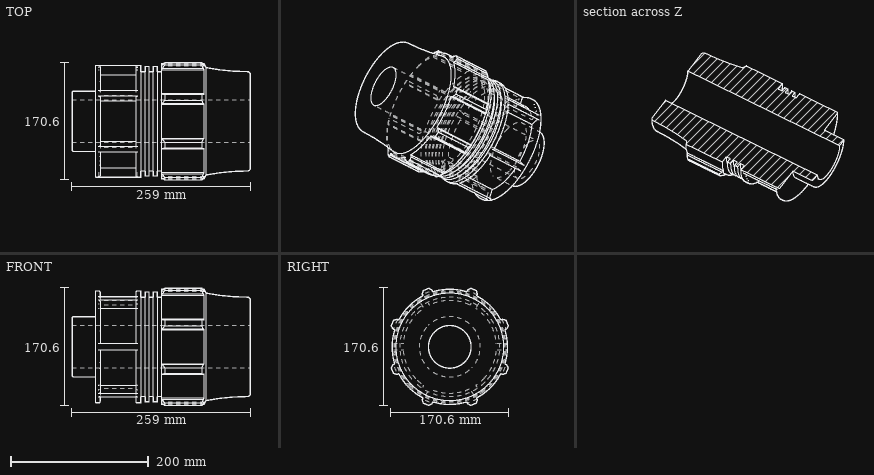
import cadquery as cq
import math

length = 259.0
bore_radius = 61.6 / 2

spigot_radius = 88.0 / 2
spigot_fillet = 2.5

collar_start = 33.7
collar_end = 99.7
collar_radius = 163.0 / 2
collar_fillet = 1.8
window_start = 41.0
window_end = 92.5
window_floor_radius = 67.5
window_lip_fillet = 2.5
web_count = 6
web_width = 9.5

neck_radius = 144.8 / 2
ring_radius = 159.5 / 2
ring_width = 6.0
ring_starts = (106.0, 117.8)

nut_start = 129.8
nut_shoulder_start = 191.7
nut_end = 194.5
nut_radius = 84.0
sleeve_start_radius = 78.2
sleeve_end_radius = neck_radius
sleeve_fillet = 4.7

rib_count = 8
rib_top_radius = 90.5
rib_top_width = 8.8
rib_base_radius = 86.2
rib_base_width = 15.5
rib_lead_in = 5.0
rib_front_radius = 85.5
rib_embed = 2.5
rib_root_radius = nut_radius - rib_embed


def axial_cylinder(start, end, radius):
    return cq.Workplane("YZ").workplane(offset=start).circle(radius).extrude(end - start)


def spin(profile):
    """Revolve an (X, radius) profile about the X axis."""
    return profile.close().revolve(360, (0, 0, 0), (1, 0, 0))


def make_spigot():
    spigot = axial_cylinder(0, collar_start, spigot_radius)
    return spigot.faces("<X").edges().fillet(spigot_fillet)


def make_collar():
    """Two flanges joined by a recessed drum and axial webs."""
    front_flange = axial_cylinder(collar_start, window_start, collar_radius)
    front_flange = front_flange.faces("<X").edges().fillet(collar_fillet)
    front_flange = front_flange.faces(">X").edges().fillet(window_lip_fillet)
    rear_flange = axial_cylinder(window_end, collar_end, collar_radius)
    rear_flange = rear_flange.faces("<X").edges().fillet(window_lip_fillet)
    drum = axial_cylinder(window_start, window_end, window_floor_radius)
    return front_flange.union(drum).union(rear_flange).union(make_webs())


def make_webs():
    start = window_start - window_lip_fillet
    end = window_end + window_lip_fillet
    envelope = axial_cylinder(start, end, collar_radius)
    bar = cq.Workplane("XY").box(end - start, 2 * collar_radius, web_width)
    bar = bar.translate(((start + end) / 2, 0, 0))
    webs = cq.Workplane("XY")
    for i in range(web_count // 2):
        webs = webs.add(bar.rotate((0, 0, 0), (1, 0, 0), i * 360 / web_count))
    return envelope.intersect(webs.combine())


def make_neck():
    neck = axial_cylinder(collar_end, nut_start, neck_radius)
    for start in ring_starts:
        neck = neck.union(axial_cylinder(start, start + ring_width, ring_radius))
    return neck


def make_nut():
    shoulder_slope = (nut_radius - sleeve_start_radius) / (nut_end - nut_shoulder_start)
    body = axial_cylinder(nut_start, nut_end, nut_radius)

    rib = (
        cq.Workplane("YZ")
        .workplane(offset=nut_start)
        .moveTo(-rib_base_width / 2, rib_root_radius)
        .lineTo(-rib_base_width / 2, rib_base_radius)
        .lineTo(-rib_top_width / 2, rib_top_radius)
        .lineTo(rib_top_width / 2, rib_top_radius)
        .lineTo(rib_base_width / 2, rib_base_radius)
        .lineTo(rib_base_width / 2, rib_root_radius)
        .close()
        .extrude(nut_end - nut_start)
    )
    for i in range(rib_count):
        body = body.union(rib.rotate((0, 0, 0), (1, 0, 0), (i + 0.5) * 360 / rib_count))

    rib_corner_radius = math.hypot(rib_top_radius, rib_top_width / 2)
    envelope = spin(
        cq.Workplane("XY")
        .moveTo(nut_start, 0)
        .lineTo(nut_start, rib_front_radius)
        .lineTo(nut_start + rib_lead_in, rib_corner_radius)
        .lineTo(nut_end - (rib_corner_radius - sleeve_start_radius) / shoulder_slope, rib_corner_radius)
        .lineTo(nut_end, sleeve_start_radius)
        .lineTo(nut_end, 0)
    )
    return body.intersect(envelope)


def make_sleeve():
    """Concave taper that runs out tangent to the axis before the rounded rim."""
    arc_end = length - sleeve_fillet
    run = arc_end - nut_end
    drop = sleeve_start_radius - sleeve_end_radius
    arc_radius = (run**2 + drop**2) / (2 * drop)
    mid_run = run / 2
    mid_radius = sleeve_end_radius + arc_radius - math.sqrt(arc_radius**2 - mid_run**2)
    fillet_mid = sleeve_fillet * math.sqrt(0.5)
    return spin(
        cq.Workplane("XY")
        .moveTo(nut_end, 0)
        .lineTo(nut_end, sleeve_start_radius)
        .threePointArc((arc_end - mid_run, mid_radius), (arc_end, sleeve_end_radius))
        .threePointArc(
            (arc_end + fillet_mid, sleeve_end_radius - sleeve_fillet + fillet_mid),
            (length, sleeve_end_radius - sleeve_fillet),
        )
        .lineTo(length, 0)
    )


coupling = make_spigot()
for section in (make_collar(), make_neck(), make_nut(), make_sleeve()):
    coupling = coupling.union(section)

result = coupling.cut(axial_cylinder(0, length, bore_radius))